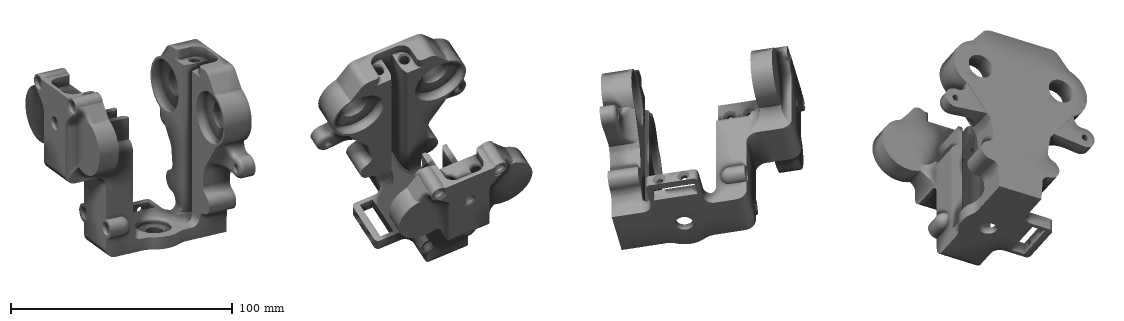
import cadquery as cq
import math

total_width = 75.9
total_depth = 83.0
total_height = 86.0
plate_thickness = 14.0
back_y = 31.3
back_inner_y = back_y - plate_thickness
front_y = back_y - total_depth
front_inner_y = front_y + plate_thickness
plate_top_z = 85.0
face_setback = 0.3

base_height = 6.0
half_width = 10.0
column_inner_y = -16.8
column_front_y = column_inner_y - plate_thickness
arm_bottom_z = 41.0
arm_top_z = 54.9
arm_edge_round = 3.95
base_fillet = 3.95
body_round = 5.0
back_half_width = 10.7
hub_radius = 13.3
hub_blend = 10.0

tab_left_x = -26.9
tab_center_y = 0.35
tab_width = 24.1
tab_corner_round = 2.0
tab_root_fillet = 4.5
slot_left_x = -23.65
slot_length_x = 6.5
slot_width_y = 20.1
tab_screw_offset = 5.6

lobe_x = 20.5
lobe_z = 63.5
lobe_radius = 13.5
shoulder_low_x = 24.8
shoulder_low_z = lobe_z + math.sqrt(lobe_radius**2 - (shoulder_low_x - lobe_x) ** 2)
shoulder_low = (shoulder_low_x, shoulder_low_z)
shoulder_angle = 50.9
pocket_diameter = 24.8
pocket_depth = 5.0
shaft_diameter = 12.0

flank_top = (26.0, 51.1)
flank_low = (15.1, 35.95)
waist = (13.25, 22.4)
ear_x = 14.8
ear_z = 18.6
ear_radius = 5.0
ear_fillet = 3.95
neck_top = (11.5, 15.05)

lug_radius = 5.0
lug_x = total_width / 2 - lug_radius
lug_z = 41.9
lug_face_y = 23.6
lug_flare = 7.0
lug_edge_round = 2.0
lug_hole_diameter = 3.3
lug_hole_chamfer = 0.5
lug_crook_x = 31.5
lug_crook_radius = 3.95
lug_slope = 6.5
lug_root_z = 54.95

relief_depth = 4.0
relief_fillet = 3.95
relief_corner_z = 72.1
relief_corner_round = 5.0
boss_x = 15.4
boss_radius = 4.0
boss_z = total_height - boss_radius
gusset_radius = 12.0
gusset_low_z = 41.7
gusset_sweep = 60.0
web_fillet = 5.0
wing_edge_round = 1.7
center_hole_z = 68.0

column_boss_radius = 4.5
column_boss_z = 15.0
column_boss_length = 7.2

rib_half_width = 6.3
rib_top_z = 65.6
rib_slot_half_width = 3.35
rib_slot_floor_z = 50.8
rib_screw_z = 58.2
rib_screw_ys = (-22.2, -31.2)

recess_half_width = 9.9
recess_depth = 5.0
recess_wall = 1.7
recess_corner_round = 5.0
recess_mouth_round = 2.0
recess_hole_x = 6.5
recess_hole_inset = 6.5
groove_half_width = 2.75
groove_back_y = back_y - recess_wall
groove_front_y = -29.4
groove_flare_y = 22.4
groove_flare_radius = 10.3
groove_flare_end_y = 13.2
groove_foot_chamfer = 1.0

insert_diameter = 4.8
insert_depth = 8.0
insert_chamfer = 0.8
screw_diameter = 3.0
screw_head_diameter = 5.9
pivot_diameter = 8.0
pivot_seat_diameter = 15.4
pivot_seat_depth = 2.7
pivot_seat_chamfer = 1.0

RIGHT = cq.Vector(1, 0, 0)
BACK = cq.Vector(0, 1, 0)
DOWN = cq.Vector(0, 0, -1)
margin = 1.7


def xz_prism(points, y_low, y_high):
    """Extrude a closed (x, z) polygon between two Y levels."""
    plane = cq.Workplane("XZ", origin=(0, y_low, 0))
    return plane.polyline(points).close().extrude(y_low - y_high)


def y_cylinder(x, z, radius, y_low, y_high):
    """Cylinder along Y between two Y levels."""
    return cq.Workplane("XZ", origin=(x, y_low, z)).circle(radius).extrude(y_low - y_high)


def block(x_range, y_range, z_range):
    """Box spanning the given coordinate ranges."""
    sizes = [high - low for low, high in (x_range, y_range, z_range)]
    corner = (x_range[0], y_range[0], z_range[0])
    return cq.Workplane("XY", origin=corner).box(*sizes, centered=False)


def mirrored(points):
    """Complete a right-hand outline with its mirror image about X = 0."""
    return points + [(-x, z) for x, z in reversed(points)]


def nearest_edge(body, point, direction=None):
    return body.edges(direction).edges(cq.selectors.NearestToPointSelector(point))


def round_edges(body, direction, points, radius):
    """Round the edges along one axis that lie nearest to the given points."""
    for point in points:
        body = nearest_edge(body, point, direction).fillet(radius)
    return body


def countersunk_hole(point, axis, diameter, depth, rim_diameter):
    """Cutter for a blind hole whose mouth opens out at 45 degrees to the rim diameter."""
    sink = (rim_diameter - diameter) / 2
    hole = cq.Solid.makeCylinder(diameter / 2, depth, cq.Vector(*point), axis)
    cone = cq.Solid.makeCone(rim_diameter / 2, diameter / 2, sink, cq.Vector(*point), axis)
    return cq.Workplane(hole).union(cq.Workplane(cone))


def insert_hole(point, axis):
    """Cutter for a blind, chamfered hole that takes a threaded insert."""
    rim = insert_diameter + 2 * insert_chamfer
    return countersunk_hole(point, axis, insert_diameter, insert_depth, rim)


def shoulder_point(z):
    """Point at height z on the straight slope from the lobe up to the plate top."""
    rise = z - shoulder_low[1]
    return (shoulder_low[0] - rise / math.tan(math.radians(shoulder_angle)), z)


def make_frame():
    """Base, column, arm and central part of the front plate as one side profile."""
    profile = [
        (back_inner_y, 0), (column_front_y, 0), (column_front_y, arm_bottom_z),
        (front_y, arm_bottom_z), (front_y, plate_top_z), (front_inner_y, plate_top_z),
        (front_inner_y, arm_top_z), (column_inner_y, arm_top_z),
        (column_inner_y, base_height), (back_inner_y, base_height),
    ]
    frame = cq.Workplane("YZ").polyline(profile).close().extrude(half_width, both=True)
    outer_corners = [
        (0, column_front_y, 0), (0, column_front_y, arm_bottom_z), (0, front_y, arm_bottom_z),
    ]
    frame = round_edges(frame, "|X", outer_corners, body_round)
    frame = round_edges(frame, "|X", [(0, column_inner_y, base_height)], base_fillet)
    arm_middle_y = (column_inner_y + front_inner_y) / 2
    arm_edges = [(side * half_width, arm_middle_y, arm_top_z) for side in (-1, 1)]
    return round_edges(frame, "|Y", arm_edges, arm_edge_round)


def make_base():
    """Base slab with its pivot hub and the slotted side tab."""
    tab_low_y = tab_center_y - tab_width / 2
    tab_high_y = tab_center_y + tab_width / 2
    heights = (0, base_height)
    base = block((-half_width, half_width), (column_inner_y, 0), heights)
    base = base.union(block((-back_half_width, back_half_width), (0, back_inner_y), heights))
    base = base.union(cq.Workplane("XY").circle(hub_radius).extrude(base_height))
    base = base.union(block((tab_left_x, 0), (tab_low_y, tab_high_y), heights))

    middle_z = base_height / 2
    hub_front = (half_width, -math.sqrt(hub_radius**2 - half_width**2), middle_z)
    hub_back = (back_half_width, math.sqrt(hub_radius**2 - back_half_width**2), middle_z)
    base = round_edges(base, "|Z", [hub_front], hub_blend)
    base = round_edges(base, "|Z", [hub_back], hub_blend)
    tab_corners = [(tab_left_x, y, middle_z) for y in (tab_low_y, tab_high_y)]
    base = round_edges(base, "|Z", tab_corners, tab_corner_round)
    tab_roots = [(-half_width, tab_low_y, middle_z), (-back_half_width, tab_high_y, middle_z)]
    base = round_edges(base, "|Z", tab_roots, tab_root_fillet)

    slot = block(
        (slot_left_x, slot_left_x + slot_length_x),
        (tab_center_y - slot_width_y / 2, tab_center_y + slot_width_y / 2),
        (-margin, base_height + margin),
    )
    base = base.cut(slot)
    for side in (-1, 1):
        mouth = (tab_left_x, tab_center_y + side * tab_screw_offset, middle_z)
        base = base.cut(
            countersunk_hole(mouth, RIGHT, screw_diameter, slot_left_x - tab_left_x, screw_head_diameter)
        )
    return base


def make_lug():
    """Right-hand screw lug, flared into the sloping flank of the back plate."""
    slope = math.radians(lug_slope)
    root_x = lug_crook_x - lug_crook_radius
    lug_top_z = lug_z + lug_radius
    diagonal = math.sqrt(0.5)
    bend = lug_crook_radius * (1 - diagonal)
    low_x = lug_x - lug_radius * math.sin(slope)
    low_z = lug_z - lug_radius * math.cos(slope)
    inner_x = waist[0]
    lug = (
        cq.Workplane("XZ", origin=(0, back_inner_y, 0))
        .moveTo(low_x, low_z)
        .threePointArc((lug_x + lug_radius, lug_z), (lug_x, lug_top_z))
        .lineTo(lug_crook_x, lug_top_z)
        .threePointArc((root_x + bend, lug_top_z + bend), (root_x, lug_top_z + lug_crook_radius))
        .lineTo(root_x, lug_root_z)
        .lineTo(lobe_x, lug_root_z)
        .lineTo(inner_x, low_z + (low_x - inner_x) * math.tan(slope))
        .close()
        .extrude(face_setback - plate_thickness)
    )

    reach = total_width / 2
    flank = cq.Vector(flank_top[0] - flank_low[0], 0, flank_top[1] - flank_low[1]).normalized()
    outward = flank.cross(BACK).multiply(-1)
    corner = (flank_low[0], lug_face_y - lug_flare, flank_low[1])
    plane = cq.Plane(origin=corner, xDir=outward, normal=flank)
    rise = lug_flare * diagonal
    clearance = (
        cq.Workplane(plane)
        .moveTo(0, 0)
        .threePointArc((lug_flare - rise, rise), (lug_flare, lug_flare))
        .lineTo(reach, lug_flare)
        .lineTo(reach, -margin)
        .lineTo(0, -margin)
        .close()
        .extrude(reach, both=True)
    )
    lug = lug.cut(clearance)
    lug = nearest_edge(lug, (lug_x + lug_radius, lug_face_y, lug_z)).fillet(lug_edge_round)
    rim = lug_hole_diameter + 2 * lug_hole_chamfer
    mouth = (lug_x, lug_face_y, lug_z)
    return lug.cut(countersunk_hole(mouth, BACK, lug_hole_diameter, plate_thickness, rim))


def make_back_plate():
    """Back upright with its lobes, ears and screw lugs."""
    outline = [
        shoulder_point(plate_top_z), shoulder_low, flank_top, flank_low,
        waist, neck_top, (back_half_width, 0),
    ]
    plate = xz_prism(mirrored(outline), back_inner_y, back_y)
    middle_y = (back_inner_y + back_y) / 2
    for side in (-1, 1):
        plate = plate.union(y_cylinder(side * lobe_x, lobe_z, lobe_radius, back_inner_y, back_y))
        plate = plate.union(y_cylinder(side * ear_x, ear_z, ear_radius, back_inner_y, back_y))
    for side in (-1, 1):
        shoulder_x, shoulder_z = shoulder_point(plate_top_z)
        shoulder = (side * shoulder_x, middle_y, shoulder_z)
        flank = (side * flank_low[0], middle_y, flank_low[1])
        plate = round_edges(plate, "|Y", [shoulder, flank], body_round)
        ear_top = (side * waist[0], middle_y, ear_z + ear_radius)
        ear_bottom = (side * neck_top[0], middle_y, ear_z - ear_radius)
        plate = round_edges(plate, "|Y", [ear_top, ear_bottom], ear_fillet)
    lug = make_lug()
    return plate.union(lug).union(lug.mirror("YZ"))


def make_front_wings():
    """Lobes of the front plate with their gussets, set back from the central part."""

    def gusset_point(degrees):
        turn = math.radians(degrees)
        return (
            half_width + gusset_radius * (1 - math.cos(turn)),
            gusset_low_z + gusset_radius * math.sin(turn),
        )

    def wing_prism(y_low, y_high):
        return (
            cq.Workplane("XZ", origin=(0, y_low, 0))
            .moveTo(0, gusset_low_z)
            .lineTo(half_width, gusset_low_z)
            .threePointArc(gusset_point(gusset_sweep / 2), gusset_point(gusset_sweep))
            .lineTo(lobe_x, lobe_z)
            .lineTo(*shoulder_low)
            .lineTo(*shoulder_point(plate_top_z))
            .lineTo(boss_x, boss_z)
            .lineTo(boss_x, plate_top_z)
            .lineTo(0, plate_top_z)
            .close()
            .extrude(y_low - y_high)
            .union(y_cylinder(lobe_x, lobe_z, lobe_radius, y_low, y_high))
        )

    relief_y = front_y + relief_depth
    far_x = lobe_x + lobe_radius + margin
    relief_outline = [
        (half_width, 0), (half_width, relief_corner_z),
        (far_x, relief_corner_z + far_x - half_width), (far_x, 0),
    ]
    relief = xz_prism(relief_outline, front_y - margin, relief_y)
    middle_y = (front_y - margin + relief_y) / 2
    corner = (half_width, middle_y, relief_corner_z)
    relief = round_edges(relief, "|Y", [corner], relief_corner_round)
    side_edge = (half_width, relief_y, relief_corner_z / 2)
    relief = nearest_edge(relief, side_edge).fillet(relief_fillet)
    wing = wing_prism(front_y, front_inner_y).cut(relief)
    slope_edge = (shoulder_low[0], relief_y, shoulder_low[1])
    wing = nearest_edge(wing, slope_edge).fillet(wing_edge_round)

    web = wing_prism(front_inner_y, front_inner_y + web_fillet)
    hollow_x = half_width + web_fillet
    hollow_y = front_inner_y + web_fillet
    hollow = cq.Workplane("XY", origin=(hollow_x, hollow_y, 0)).circle(web_fillet).extrude(total_height)
    web = web.intersect(block((0, hollow_x), (front_inner_y, hollow_y), (0, arm_top_z))).cut(hollow)
    envelope = block(
        (0, far_x), (front_y, front_inner_y + web_fillet), (arm_bottom_z, total_height)
    )
    envelope = round_edges(envelope, "|X", [(far_x / 2, front_y, arm_bottom_z)], body_round)
    wing = wing.union(web).intersect(envelope)
    return wing.union(wing.mirror("YZ"))


def top_recess(opening_y, wall_y):
    """Recess in a plate top, open on the inner face, with rounded inner corners."""
    y_range = sorted((opening_y, wall_y))
    floor_z = plate_top_z - recess_depth
    x_range = (-recess_half_width, recess_half_width)
    recess = block(x_range, y_range, (floor_z, total_height + margin))
    corners = [(x, wall_y, (floor_z + total_height + margin) / 2) for x in x_range]
    return round_edges(recess, "|Z", corners, recess_corner_round)


def cut_top_recess(plate, inner_y, outer_y):
    """Sink the recess, round its mouth and drill the two insert holes in its floor."""
    outward = math.copysign(1, outer_y - inner_y)
    plate = plate.cut(top_recess(inner_y, outer_y - outward * recess_wall))
    middle_z = plate_top_z - recess_depth / 2
    mouth = [(side * recess_half_width, inner_y, middle_z) for side in (-1, 1)]
    plate = round_edges(plate, "|Z", mouth, recess_mouth_round)
    for side in (-1, 1):
        hole_y = outer_y - outward * recess_hole_inset
        hole = (side * recess_hole_x, hole_y, plate_top_z - recess_depth)
        plate = plate.cut(insert_hole(hole, DOWN))
    return plate


def make_groove():
    """Cable groove: straight ends in both uprights, mouths flared by large arcs."""
    drop = groove_flare_y - groove_flare_end_y
    spread = groove_flare_radius - math.sqrt(groove_flare_radius**2 - drop**2)
    half_angle = math.asin(drop / groove_flare_radius) / 2
    narrow = groove_half_width
    middle_x = narrow + groove_flare_radius * (1 - math.cos(half_angle))
    middle_y = groove_flare_y - groove_flare_radius * math.sin(half_angle)
    wide = narrow + spread
    groove = (
        cq.Workplane("XY", origin=(0, 0, base_height))
        .moveTo(narrow, groove_back_y)
        .lineTo(narrow, groove_flare_y)
        .threePointArc((middle_x, middle_y), (wide, groove_flare_end_y))
        .lineTo(wide, -groove_flare_end_y)
        .threePointArc((middle_x, -middle_y), (narrow, -groove_flare_y))
        .lineTo(narrow, groove_front_y)
        .lineTo(0, groove_front_y)
        .lineTo(0, groove_back_y)
        .close()
        .extrude(total_height)
    )
    groove = groove.union(groove.mirror("YZ"))
    return groove.faces("<Z").chamfer(groove_foot_chamfer)


def cut_lobe_seats(body):
    """Bearing seats and shaft holes through the lobes of the back plate."""
    for side in (-1, 1):
        x = side * lobe_x
        seat_end = back_inner_y + pocket_depth
        body = body.cut(y_cylinder(x, lobe_z, pocket_diameter / 2, back_inner_y, seat_end))
        body = body.cut(y_cylinder(x, lobe_z, shaft_diameter / 2, back_inner_y, back_y))
    return body


def cut_pivot_seat(body):
    """Chamfered seat and through hole for the pivot in the base."""
    top = cq.Vector(0, 0, base_height)
    rim_diameter = pivot_seat_diameter + 2 * pivot_seat_chamfer
    body = body.cut(
        countersunk_hole(top.toTuple(), DOWN, pivot_seat_diameter, pivot_seat_depth, rim_diameter)
    )
    return body.cut(cq.Workplane("XY").circle(pivot_diameter / 2).extrude(base_height))


def make_column_boss(x):
    """Insert boss beside the column, ending in a ball."""
    ball_y = column_front_y + column_boss_length
    bend = column_boss_radius * math.sqrt(0.5)
    return (
        cq.Workplane("XY", origin=(x, 0, column_boss_z))
        .moveTo(0, column_front_y)
        .lineTo(column_boss_radius, column_front_y)
        .lineTo(column_boss_radius, ball_y)
        .threePointArc((bend, ball_y + bend), (0, ball_y + column_boss_radius))
        .close()
        .revolve(360, (0, 0), (0, 1))
    )


def make_clamp_rib():
    """Narrow rib standing on the arm."""
    return block(
        (-rib_half_width, rib_half_width),
        (front_inner_y, column_inner_y),
        (rib_slot_floor_z, rib_top_z),
    )


def cut_clamp(body):
    """Clamp slot along the rib and the screws that cross it."""
    slot = block(
        (-rib_slot_half_width, rib_slot_half_width),
        (front_inner_y, column_inner_y),
        (rib_slot_floor_z, rib_top_z),
    )
    body = body.cut(slot)
    prong_thickness = rib_half_width - rib_slot_half_width
    for y in rib_screw_ys:
        mouth = (-rib_half_width, y, rib_screw_z)
        body = body.cut(
            countersunk_hole(mouth, RIGHT, screw_diameter, prong_thickness, screw_head_diameter)
        )
    return body


def make_front_assembly():
    """Column, arm and front plate with their bosses, clamp and insert holes."""
    body = make_frame().union(make_front_wings())
    boss_face_y = front_y + face_setback
    for side in (-1, 1):
        body = body.cut(y_cylinder(side * boss_x, boss_z, boss_radius, front_y, boss_face_y))
        body = body.union(y_cylinder(side * boss_x, boss_z, boss_radius, boss_face_y, front_inner_y))
        body = body.union(make_column_boss(side * half_width))
    body = cut_clamp(body.union(make_clamp_rib()))
    body = cut_top_recess(body, front_inner_y, front_y)
    insert_mouths = [(0, front_y, center_hole_z)]
    for side in (-1, 1):
        insert_mouths.append((side * boss_x, boss_face_y, boss_z))
        insert_mouths.append((side * half_width, column_front_y, column_boss_z))
    for mouth in insert_mouths:
        body = body.cut(insert_hole(mouth, BACK))
    return body


def make_back_foot_fillet():
    """Concave fillet between the base and the back plate."""
    low_y = back_inner_y - base_fillet
    x_range = (-back_half_width, back_half_width)
    strip = block(x_range, (low_y, back_inner_y), (0, base_height + base_fillet))
    hollow = (
        cq.Workplane("YZ", origin=(0, low_y, base_height + base_fillet))
        .circle(base_fillet)
        .extrude(back_half_width, both=True)
    )
    return strip.cut(hollow)


back_plate = cut_lobe_seats(cut_top_recess(make_back_plate(), back_inner_y, back_y))
bracket = back_plate.union(make_base()).union(make_back_foot_fillet()).union(make_front_assembly())
result = cut_pivot_seat(bracket.cut(make_groove()))